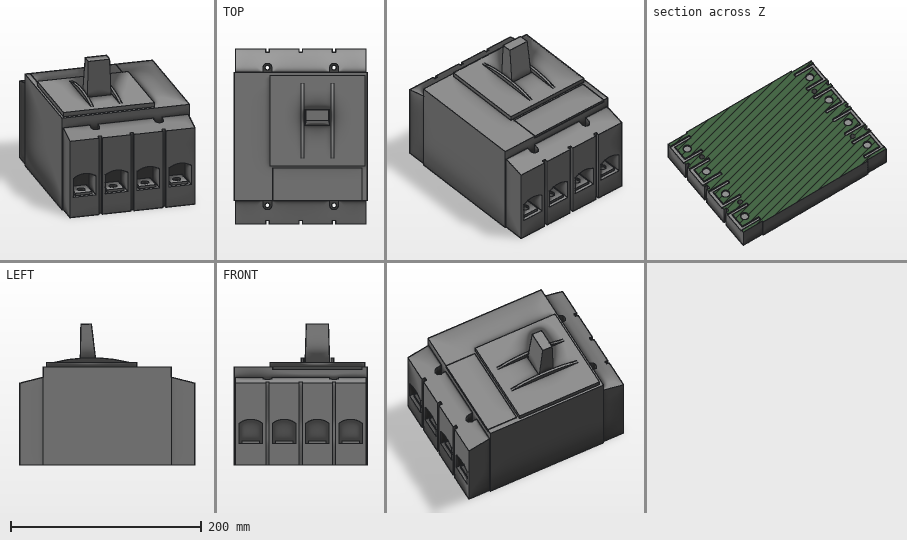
import cadquery as cq


CASE_WIDTH = 140.0
CASE_LENGTH = 134.7
CASE_HEIGHT = 103.2
TOTAL_LENGTH = 184.0
BLOCK_WIDTH = 137.3
BLOCK_OUTER_HEIGHT = 86.1
BLOCK_INNER_HEIGHT = 92.2
BLOCK_LEDGE = 0.7
BLOCK_DEPTH = (TOTAL_LENGTH - CASE_LENGTH) / 2
CASE_END = CASE_LENGTH / 2
BLOCK_END = TOTAL_LENGTH / 2
END_SIDES = (-1, 1)

POLE_COUNT = 4
POLE_PITCH = 35.0
GROOVE_WIDTH = 3.5
GROOVE_DEPTH = 3.5
POLE_CENTRES = [(i - (POLE_COUNT - 1) / 2) * POLE_PITCH for i in range(POLE_COUNT)]
GROOVE_CENTRES = [x + POLE_PITCH / 2 for x in POLE_CENTRES[:-1]]

OPENING_WIDTH = 24.7
OPENING_FLOOR = 22.6
OPENING_SPRING = 43.8
OPENING_CROWN = 48.0
PAD_WIDTH = 18.5
PAD_THICKNESS = 2.8
PAD_SETBACK = 3.7
PAD_HOLE_SETBACK = 13.2
PAD_HOLE_DIAMETER = 8.3

SCREW_X = POLE_PITCH
SCREW_Y = 72.3
SCREW_DIAMETER = 4.8
WELL_WIDTH = 9.2
WELL_FLOOR = 73.6

PLATE_WIDTH = 99.7
PLATE_LENGTH = 95.0
PLATE_THICKNESS = 4.8
PLATE_X = POLE_PITCH / 2
PLATE_Y = 16.4
PLATE_TOP = CASE_HEIGHT + PLATE_THICKNESS
RIB_WIDTH = 3.0
RIB_LENGTH = 78.2
RIB_HEIGHT = 4.8
RIB_SPACING = 31.5

RECESS_WIDTH = 94.2
RECESS_BACK = -33.1
RECESS_DEPTH = 2.8
SIDE_GAP = 0.4
FLOOR_GAP = 0.5

TOTAL_HEIGHT = 148.3
HANDLE_BASE_WIDTH = 26.0
HANDLE_TOP_WIDTH = 23.5
HANDLE_BASE_FRONT = 11.8
HANDLE_BASE_BACK = 28.5
HANDLE_TOP_FRONT = 16.5
HANDLE_TOP_BACK = 27.8
HANDLE_TOP_DROP = 0.4


def box(x_min, x_max, y_min, y_max, z_min, z_max):
    """Rectangular block between the given limits."""
    return cq.Workplane(obj=cq.Solid.makeBox(
        x_max - x_min, y_max - y_min, z_max - z_min, cq.Vector(x_min, y_min, z_min)))


def span(side, inner, outer):
    """Y limits, in rising order, of a range lying at one end of the housing."""
    return sorted((side * inner, side * outer))


def upright_cylinder(x, y, diameter, z_min, z_max):
    """Vertical cylinder between two heights."""
    return cq.Workplane("XY", origin=(x, y, z_min)).circle(diameter / 2).extrude(z_max - z_min)


def make_shell():
    """Main case with a terminal block at each end: a narrow level ledge, then a slope."""
    slope_start = CASE_END + BLOCK_LEDGE
    case = box(-CASE_WIDTH / 2, CASE_WIDTH / 2, -CASE_END, CASE_END, 0, CASE_HEIGHT)
    blocks = (
        cq.Workplane("YZ", origin=(-BLOCK_WIDTH / 2, 0, 0))
        .moveTo(-BLOCK_END, 0)
        .lineTo(-BLOCK_END, BLOCK_OUTER_HEIGHT)
        .lineTo(-slope_start, BLOCK_INNER_HEIGHT)
        .lineTo(slope_start, BLOCK_INNER_HEIGHT)
        .lineTo(BLOCK_END, BLOCK_OUTER_HEIGHT)
        .lineTo(BLOCK_END, 0)
        .close()
        .extrude(BLOCK_WIDTH)
    )
    return case.union(blocks)


def pole_groove(x, side):
    """Full-height groove between two poles."""
    y_min, y_max = span(side, BLOCK_END - GROOVE_DEPTH, BLOCK_END)
    return box(x - GROOVE_WIDTH / 2, x + GROOVE_WIDTH / 2, y_min, y_max, 0, CASE_HEIGHT)


def terminal_opening(x, side):
    """Arched opening through the terminal block, less the contact pad left on its floor."""
    half = OPENING_WIDTH / 2
    _, y_max = span(side, CASE_END, BLOCK_END)
    arch = (
        cq.Workplane("XZ", origin=(x, y_max, 0))
        .moveTo(-half, OPENING_FLOOR)
        .lineTo(-half, OPENING_SPRING)
        .threePointArc((0, OPENING_CROWN), (half, OPENING_SPRING))
        .lineTo(half, OPENING_FLOOR)
        .close()
        .extrude(BLOCK_DEPTH)
    )
    pad_top = OPENING_FLOOR + PAD_THICKNESS
    pad_y_min, pad_y_max = span(side, CASE_END, BLOCK_END - PAD_SETBACK)
    pad = box(x - PAD_WIDTH / 2, x + PAD_WIDTH / 2, pad_y_min, pad_y_max, OPENING_FLOOR, pad_top)
    hole_y = side * (BLOCK_END - PAD_HOLE_SETBACK)
    pad = pad.cut(upright_cylinder(x, hole_y, PAD_HOLE_DIAMETER, OPENING_FLOOR, pad_top))
    return arch.cut(pad)


def screw_hole(x, side):
    """Through hole with a round-ended well open to the sloped top."""
    y = side * SCREW_Y
    well_y_min, well_y_max = span(side, CASE_END, SCREW_Y)
    half = WELL_WIDTH / 2
    well = box(x - half, x + half, well_y_min, well_y_max, WELL_FLOOR, CASE_HEIGHT)
    well = well.union(upright_cylinder(x, y, WELL_WIDTH, WELL_FLOOR, CASE_HEIGHT))
    return well.union(upright_cylinder(x, y, SCREW_DIAMETER, 0, WELL_FLOOR))


def make_housing():
    """Case and terminal blocks with all their openings."""
    housing = make_shell()
    for side in END_SIDES:
        for x in GROOVE_CENTRES:
            housing = housing.cut(pole_groove(x, side))
        for x in POLE_CENTRES:
            housing = housing.cut(terminal_opening(x, side))
        for x in (-SCREW_X, SCREW_X):
            housing = housing.cut(screw_hole(x, side))
    half = RECESS_WIDTH / 2
    recess_floor = CASE_HEIGHT - RECESS_DEPTH
    recess = box(PLATE_X - half, PLATE_X + half, -CASE_END, RECESS_BACK, recess_floor, CASE_HEIGHT)
    return housing.cut(recess)


def guide_rib(x):
    """Low rib on the cover plate with a circular-arc top."""
    half = RIB_LENGTH / 2
    return (
        cq.Workplane("YZ", origin=(x - RIB_WIDTH / 2, PLATE_Y, PLATE_TOP))
        .moveTo(-half, 0)
        .threePointArc((0, RIB_HEIGHT), (half, 0))
        .close()
        .extrude(RIB_WIDTH)
    )


def make_cover_plate():
    """Raised plate on the case, with a guide rib on each side of the handle."""
    plate = (
        cq.Workplane("XY", origin=(PLATE_X, PLATE_Y, CASE_HEIGHT))
        .rect(PLATE_WIDTH, PLATE_LENGTH)
        .extrude(PLATE_THICKNESS)
    )
    for offset in (-RIB_SPACING / 2, RIB_SPACING / 2):
        plate = plate.union(guide_rib(PLATE_X + offset))
    return plate


def make_trip_panel():
    """Flat panel flush with the case top, held against the back of its recess."""
    half = RECESS_WIDTH / 2 - SIDE_GAP
    underside = CASE_HEIGHT - RECESS_DEPTH + FLOOR_GAP
    return box(PLATE_X - half, PLATE_X + half, -CASE_END, RECESS_BACK, underside, CASE_HEIGHT)


def make_handle():
    """Handle standing on the plate: a leaning side profile with its width tapered upward."""
    profile = (
        cq.Workplane("YZ", origin=(PLATE_X - HANDLE_BASE_WIDTH / 2, 0, 0))
        .moveTo(HANDLE_BASE_FRONT, PLATE_TOP)
        .lineTo(HANDLE_TOP_FRONT, TOTAL_HEIGHT)
        .lineTo(HANDLE_TOP_BACK, TOTAL_HEIGHT - HANDLE_TOP_DROP)
        .lineTo(HANDLE_BASE_BACK, PLATE_TOP)
        .close()
        .extrude(HANDLE_BASE_WIDTH)
    )
    taper = (
        cq.Workplane("XZ", origin=(PLATE_X, HANDLE_BASE_BACK, 0))
        .moveTo(-HANDLE_BASE_WIDTH / 2, PLATE_TOP)
        .lineTo(-HANDLE_TOP_WIDTH / 2, TOTAL_HEIGHT)
        .lineTo(HANDLE_TOP_WIDTH / 2, TOTAL_HEIGHT)
        .lineTo(HANDLE_BASE_WIDTH / 2, PLATE_TOP)
        .close()
        .extrude(HANDLE_BASE_BACK - HANDLE_BASE_FRONT)
    )
    return profile.intersect(taper)


housing = make_housing()
cover_plate = make_cover_plate()
trip_panel = make_trip_panel()
handle = make_handle()

result = cq.Compound.makeCompound([
    *housing.solids().vals(),
    *cover_plate.solids().vals(),
    *trip_panel.solids().vals(),
    *handle.solids().vals(),
])